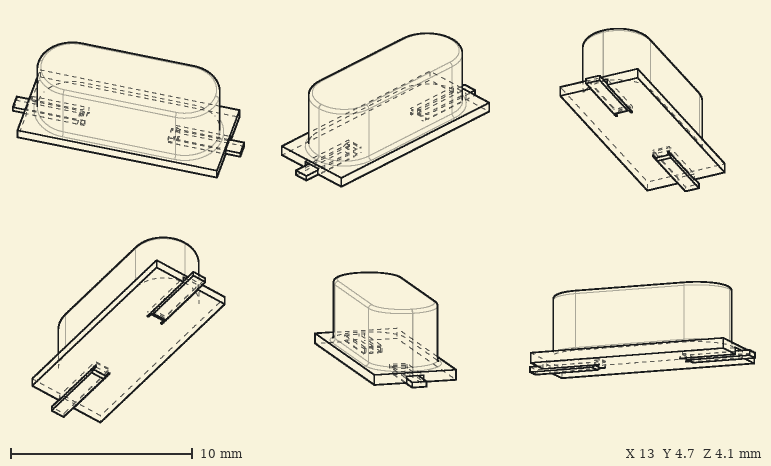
import cadquery as cq

total_length = 13.0
total_width = 4.7
total_height = 4.1

plate_length = 11.4
plate_bottom = 0.1
plate_top = 0.68

can_length = 10.3
can_width = 3.9
can_end_flat = 0.03
can_corner_radius = (can_width - can_end_flat) / 2
edge_radius = 0.2

lead_width = 0.83
lead_thickness = 0.3
lead_flat_length = 3.67
lead_bend_length = 0.18
lead_tail_length = 0.26

slot_width = 1.0
slot_top = 0.48

lead_tip = total_length / 2
bend_start = lead_tip - lead_flat_length
bend_end = bend_start - lead_bend_length
slot_end = bend_end - lead_tail_length


def make_plate():
    """Rectangular plate, raised above the seating plane."""
    return (
        cq.Workplane("XY", origin=(0, 0, plate_bottom))
        .rect(plate_length, total_width)
        .extrude(plate_top - plate_bottom)
    )


def make_can():
    """Rounded-end cover with a rounded top rim."""
    return (
        cq.Workplane("XY", origin=(0, 0, plate_top))
        .rect(can_length, can_width)
        .extrude(total_height - plate_top)
        .edges("|Z")
        .fillet(can_corner_radius)
        .faces(">Z")
        .edges()
        .fillet(edge_radius)
    )


def make_slot():
    """Cutter for the +X lead slot, open at the plate's end and underside."""
    return (
        cq.Workplane("XY")
        .box(lead_tip - slot_end, slot_width, slot_top, centered=(False, True, False))
        .translate((slot_end, 0, 0))
    )


def make_lead():
    """+X lead: a flat strip that bends up until its underside meets the plate's."""
    return (
        cq.Workplane("XZ")
        .moveTo(lead_tip, 0)
        .lineTo(bend_start, 0)
        .lineTo(bend_end, plate_bottom)
        .lineTo(slot_end, plate_bottom)
        .lineTo(slot_end, plate_bottom + lead_thickness)
        .lineTo(bend_end, plate_bottom + lead_thickness)
        .lineTo(bend_start, lead_thickness)
        .lineTo(lead_tip, lead_thickness)
        .close()
        .extrude(lead_width / 2, both=True)
    )


def blend_foot(body):
    """Concave fillet around the foot of the can, where it meets the plate."""
    near_foot = cq.selectors.BoxSelector(
        (-can_length / 2, -can_width / 2, plate_top - edge_radius),
        (can_length / 2, can_width / 2, plate_top + edge_radius),
    )
    return body.edges("#Z").edges(near_foot).fillet(edge_radius)


result = blend_foot(make_plate().union(make_can()))
for turn in (0, 180):
    result = result.cut(make_slot().rotate((0, 0, 0), (0, 0, 1), turn))
    result = result.union(make_lead().rotate((0, 0, 0), (0, 0, 1), turn))